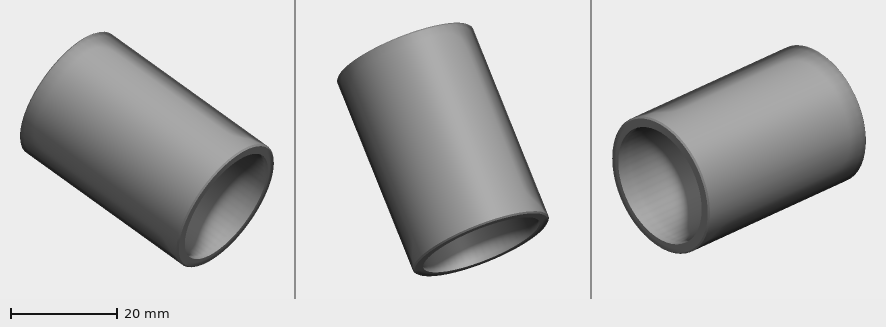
import cadquery as cq

length = 40.0
outer_diameter = 27.5
bore_diameter = 23.5
outer_chamfer = 0.3


def cylinder_along_x(diameter):
    """Cylinder of the full sleeve length, centred on the origin."""
    return (
        cq.Workplane("YZ", origin=(-length / 2, 0, 0))
        .circle(diameter / 2)
        .extrude(length)
    )


outer_body = cylinder_along_x(outer_diameter).faces("<X or >X").chamfer(outer_chamfer)

result = outer_body.cut(cylinder_along_x(bore_diameter))